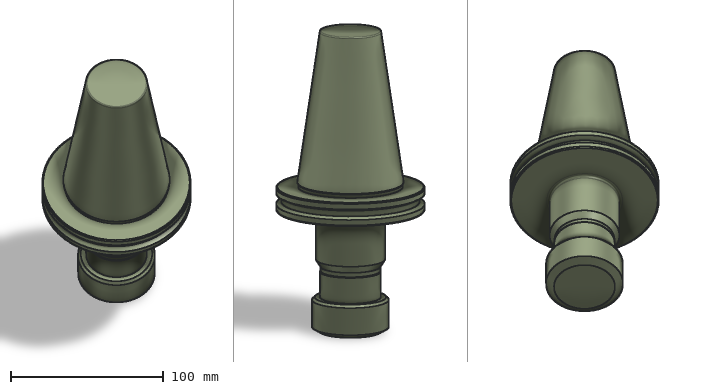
import cadquery as cq

total_height = 201.8
taper_ratio = 7 / 24
gauge_radius = 35.0
gauge_z = 100.0
tip_fillet = 0.8
relief_radius = 34.3
relief_slope_height = 0.8

flange_radius = 48.72
flange_top_z = 97.0
flange_bottom_z = 81.1
flange_chamfer = 0.8
groove_radius = 45.4
groove_top_z = 91.0
groove_bottom_z = 87.2
groove_flank_height = 1.6

neck_radius = 22.8
neck_fillet = 2.0
neck_bottom_z = 48.5

shank_radius = 20.0
shank_cone_bottom_z = 43.5
shank_step_z = 40.1
shank_step = 0.2
shank_step_slope_height = 0.6

nut_radius = 25.2
nut_top_z = 23.0
nut_top_chamfer = 1.8
nut_bottom_chamfer_width = 5.2
nut_bottom_chamfer_height = 3.0

tip_radius = gauge_radius - (total_height - gauge_z) * taper_ratio / 2
tip_edge_radius = tip_radius + tip_fillet * taper_ratio / 2


def nut_and_shank(outline):
    """Trace the chamfered nut and the shank, from the bottom axis point upward."""
    return (
        outline
        .lineTo(nut_radius - nut_bottom_chamfer_width, 0)
        .lineTo(nut_radius, nut_bottom_chamfer_height)
        .lineTo(nut_radius, nut_top_z - nut_top_chamfer)
        .lineTo(nut_radius - nut_top_chamfer, nut_top_z)
        .lineTo(shank_radius, nut_top_z)
        .lineTo(shank_radius, shank_step_z)
        .lineTo(shank_radius - shank_step, shank_step_z + shank_step_slope_height)
        .lineTo(shank_radius - shank_step, shank_cone_bottom_z)
    )


def neck(outline):
    """Trace the cone, the neck and the concave fillet under the flange."""
    return (
        outline
        .lineTo(neck_radius, neck_bottom_z)
        .lineTo(neck_radius, flange_bottom_z - neck_fillet)
        .radiusArc((neck_radius + neck_fillet, flange_bottom_z), neck_fillet)
    )


def flange(outline):
    """Trace the flange rim, its V-sided groove and its top face."""
    return (
        outline
        .lineTo(flange_radius - flange_chamfer, flange_bottom_z)
        .lineTo(flange_radius, flange_bottom_z + flange_chamfer)
        .lineTo(flange_radius, groove_bottom_z - groove_flank_height)
        .lineTo(groove_radius, groove_bottom_z)
        .lineTo(groove_radius, groove_top_z)
        .lineTo(flange_radius, groove_top_z + groove_flank_height)
        .lineTo(flange_radius, flange_top_z - flange_chamfer)
        .lineTo(flange_radius - flange_chamfer, flange_top_z)
        .lineTo(relief_radius, flange_top_z)
    )


def taper(outline):
    """Trace the relief below the taper, the taper and its rounded tip."""
    return (
        outline
        .lineTo(relief_radius, gauge_z - relief_slope_height)
        .lineTo(gauge_radius, gauge_z)
        .lineTo(tip_edge_radius, total_height - tip_fillet)
        .radiusArc((tip_edge_radius - tip_fillet, total_height), -tip_fillet)
        .lineTo(0, total_height)
    )


outline = cq.Workplane("XZ").moveTo(0, 0)
for trace in (nut_and_shank, neck, flange, taper):
    outline = trace(outline)

result = outline.close().revolve(360, (0, 0, 0), (0, 1, 0))